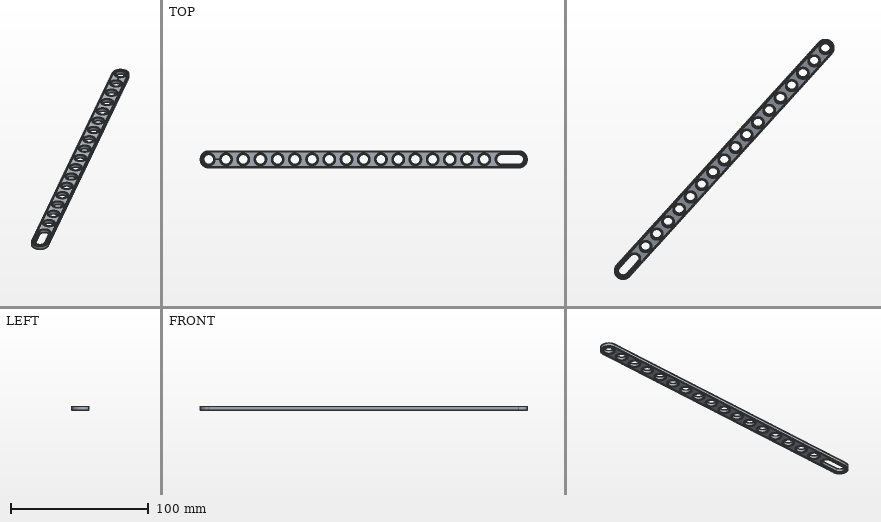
import cadquery as cq

length = 237.5
cell_count = 19
pitch = length / cell_count
width = pitch

web_thickness = 2.4
recess_depth = 0.3
thickness = web_thickness + 2 * recess_depth

rim_width = 1.07
collar_diameter = 9.3
collar_wall = 1.15
edge_chamfer = 0.2

hole_count = 17
hole_diameter = collar_diameter - 2 * collar_wall
slot_travel = pitch
first_hole_x = -length / 2 + pitch / 2
hole_points = [(first_hole_x + i * pitch, 0) for i in range(hole_count)]
slot_center = (length / 2 - pitch, 0)

rib_width = 0.5
rib_length = pitch - collar_diameter + collar_wall
rib_center_x = first_hole_x + pitch / 2


def rounded_bar(inset, height):
    """Solid with the outline of the bar moved inward by the inset."""
    return cq.Workplane("XY").slot2D(length - 2 * inset, width - 2 * inset).extrude(height)


def opening_row(diameter, height):
    """Cylinders at every hole plus the slot, all of one width."""
    cylinders = cq.Workplane("XY").pushPoints(hole_points).circle(diameter / 2).extrude(height)
    slot = cq.Workplane("XY").center(*slot_center).slot2D(slot_travel + diameter, diameter).extrude(height)
    return cylinders.union(slot)


def recess():
    """Material removed between the rim and the collars on one face."""
    return rounded_bar(rim_width, recess_depth).cut(opening_row(collar_diameter, recess_depth))


def marker_rib():
    """Narrow rib standing on the web, level with the top face."""
    rib_base = thickness - recess_depth
    rib_plane = cq.Workplane("XY", origin=(rib_center_x, 0, rib_base))
    return rib_plane.rect(rib_length, rib_width).extrude(recess_depth)


bar = rounded_bar(0, thickness)
bar = bar.cut(recess())
bar = bar.cut(recess().translate((0, 0, thickness - recess_depth)))
bar = bar.cut(opening_row(hole_diameter, thickness))

bar = bar.faces("<Z or >Z").edges().chamfer(edge_chamfer)

result = bar.union(marker_rib())